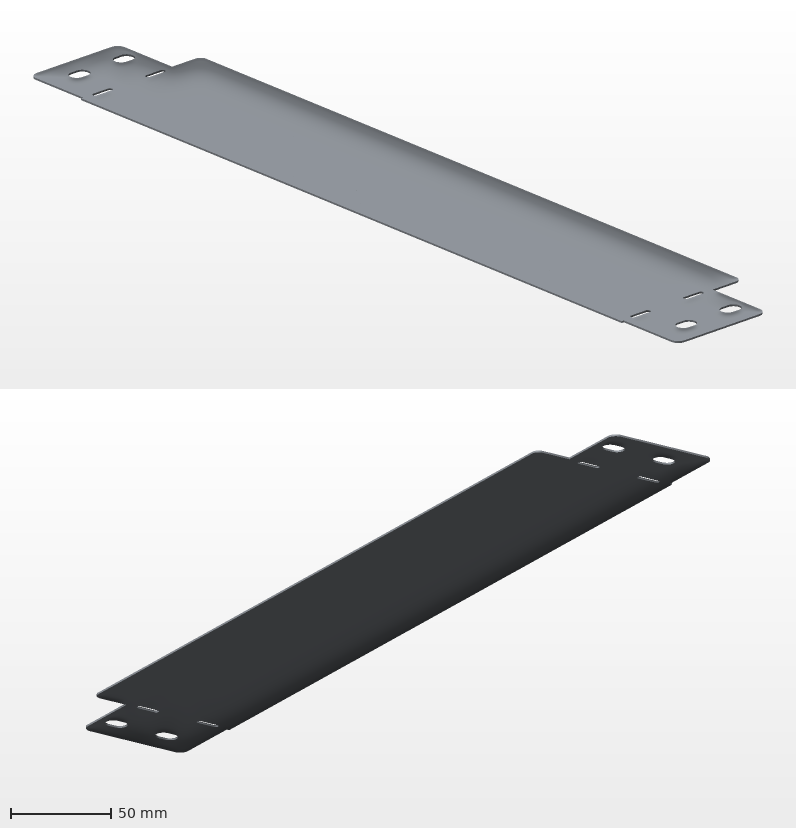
import cadquery as cq

length = 477.0
width = 81.0
thickness = 1.0

tab_length = 39.5
tab_width = 60.0
tab_front_inset = 1.5
tab_corner_radius = 5.0

panel_length = length - 2 * tab_length
panel_corner_radius = 4.0

hole_length = 12.0
hole_width = 8.0
hole_end_distance = 15.5
hole_spacing = 30.0
hole_pair_offset = 5.0

slot_length = 13.0
slot_width = 3.0
slot_end_distance = 40.5
slot_spacing = 36.0

front_y = -width / 2
tab_center_y = front_y + tab_front_inset + tab_width / 2


def make_panel():
    """Central panel with its two back corners rounded."""
    panel = cq.Workplane("XY").box(panel_length, width, thickness)
    return panel.edges("|Z and >Y").fillet(panel_corner_radius)


def make_tab_strip():
    """Full-length strip whose rounded ends form the two tabs."""
    strip = cq.Workplane("XY").box(length, tab_width, thickness)
    strip = strip.edges("|Z").fillet(tab_corner_radius)
    return strip.translate((0, tab_center_y, 0))


def make_slots(end_distance, center_y, spacing, slot_size, across):
    """Cutters for a pair of Y-aligned slots at each end of the plate."""
    x = length / 2 - end_distance
    centers = [
        (side * x, center_y + step * spacing / 2)
        for side in (-1, 1)
        for step in (-1, 1)
    ]
    sketch = cq.Workplane("XY").pushPoints(centers).slot2D(slot_size, across, 90)
    return sketch.extrude(thickness, both=True)


mounting_holes = make_slots(
    hole_end_distance, tab_center_y + hole_pair_offset, hole_spacing, hole_length, hole_width
)
joint_slots = make_slots(slot_end_distance, tab_center_y, slot_spacing, slot_length, slot_width)

result = make_panel().union(make_tab_strip()).cut(mounting_holes).cut(joint_slots)